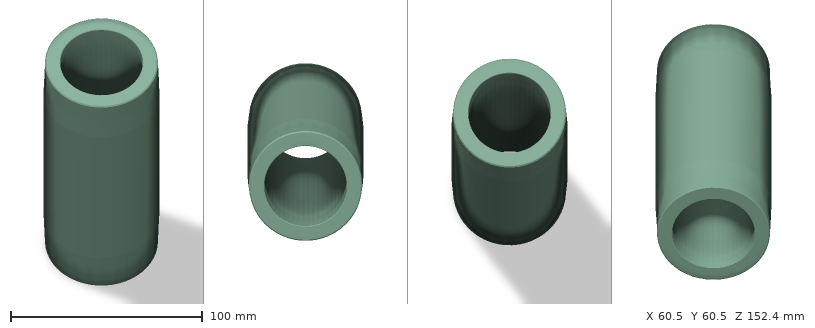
import cadquery as cq

LENGTH = 152.4
OUTER_DIAMETER = 60.45
BORE_DIAMETER = 43.0
TAPER_LENGTH = 25.0
TAPER_RATIO = 1 / 16
RIM_CHAMFER = 0.62
BORE_CHAMFER = 0.3

outer_radius = OUTER_DIAMETER / 2
bore_radius = BORE_DIAMETER / 2
half_length = LENGTH / 2
taper_start = half_length - TAPER_LENGTH
end_radius = outer_radius - TAPER_LENGTH * TAPER_RATIO / 2


def make_tube():
    """Revolve the wall section about the Z axis, starting on the -X side."""
    return (
        cq.Workplane("XZ")
        .moveTo(-bore_radius, -half_length)
        .lineTo(-end_radius, -half_length)
        .lineTo(-outer_radius, -taper_start)
        .lineTo(-outer_radius, taper_start)
        .lineTo(-end_radius, half_length)
        .lineTo(-bore_radius, half_length)
        .close()
        .revolve(360, (0, 0, 0), (0, 1, 0))
    )


def chamfer_ends(tube):
    """Break the outer and bore edges of both end faces."""
    largest_circle = cq.selectors.RadiusNthSelector(-1)
    smallest_circle = cq.selectors.RadiusNthSelector(0)
    for end_face in (">Z", "<Z"):
        tube = tube.faces(end_face).edges(largest_circle).chamfer(RIM_CHAMFER)
        tube = tube.faces(end_face).edges(smallest_circle).chamfer(BORE_CHAMFER)
    return tube


result = chamfer_ends(make_tube())